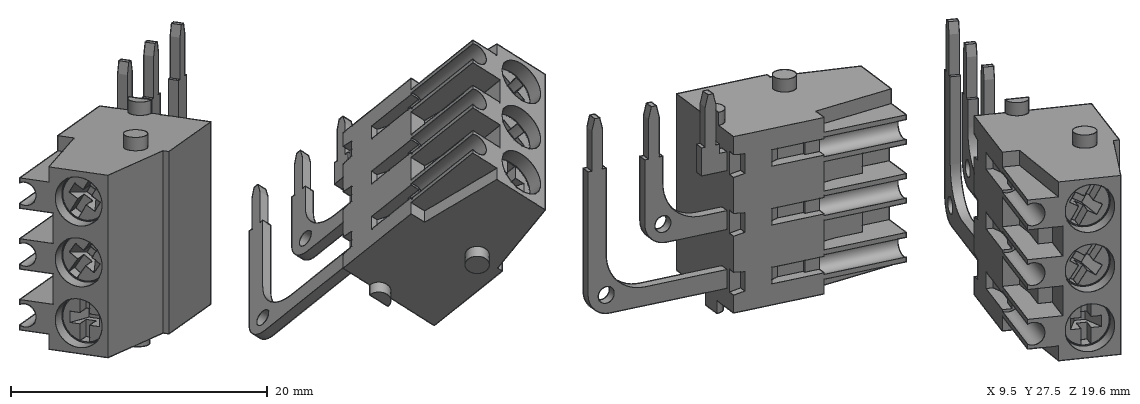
import cadquery as cq


PITCH = 5.0
POLE_HEIGHTS = [PITCH * (pole + 0.5) for pole in range(3)]
BODY_HEIGHT = 3 * PITCH
BODY_DEPTH_X = 9.5
BODY_LENGTH = 15.25
STEP_Y = 7.25
NOSE_RIGHT_AT_STEP = 9.0
NOSE_RIGHT_AT_FRONT = 7.55
NOSE_LEFT_AT_STEP = 1.4
NOSE_LEFT_AT_FRONT = 2.5
NOSE_LEFT_SLOPE = (NOSE_LEFT_AT_FRONT - NOSE_LEFT_AT_STEP) / STEP_Y

RECESS_HEIGHT = 2.5
RECESS_LEDGE_Y = 5.4
RECESS_DEEP_Y = 3.0
RECESS_DEEP_X = 2.85

GROOVE_DIAMETER = 1.9
GROOVE_CENTRE_X = 0.45
SLOT_HEIGHT = 1.4
SLOT_BACK_Y = 11.88
SLOT_RAMP_Y = 10.84
SLOT_FRONT_Y = 8.54
SLOT_BACK_X = 0.56
SLOT_FLOOR_X = 1.02
SLOT_FRONT_X = 0.8

NOTCH_DEPTH_X = 0.7
NOTCH_LENGTH = 1.0
NOTCH_BACK_HEIGHT = 1.95
NOTCH_FRONT_HEIGHT = 1.65

SCREW_X = 5.05
SCREW_HOLE_DIAMETER = 4.0
SCREW_HEAD_DIAMETER = 3.8
SCREW_SINK = 1.15
SCREW_GAP_DEPTH = 0.1
SCREW_ANGLES = [0.0, 34.0, 30.0]
DRIVE_SLOT_WIDTH = 0.83
DRIVE_SLOT_DEPTH = 1.2
DRIVE_CROSS_LENGTH = 2.54
DRIVE_CROSS_WIDTH = 0.93
DRIVE_CROSS_FLOOR = 0.88
DRIVE_CROSS_DEPTH = 1.8

PEG_DIAMETER = 1.9
PEG_FRONT_Y = 7.22
PEG_HEIGHT = 1.1
TOP_PEG_BACK_X = 3.45
TOP_PEG_FRONT_X = 6.67
BASE_PEG_BACK_X = 3.72
BASE_PEG_FRONT_X = 6.85

CONTACT_X = 1.08
CONTACT_THICKNESS = 0.85
CONTACT_WIDTH = 1.6
CONTACT_OUTER_Y = [27.5, 22.5, 17.5]
CONTACT_OUTER_RADIUS = 1.9
CONTACT_INNER_RADIUS = 3.4
CONTACT_HOLE_DIAMETER = 1.4
CONTACT_ANCHOR = 0.5
SHOULDER_Z = 14.08
PIN_TOP_Z = 18.48
PIN_WIDTH = 0.95
PIN_TIP_WIDTH = 0.45
PIN_TIP_LENGTH = 1.0


def prism_z(points, bottom, height):
    """Extrude an XY outline upward from the given height."""
    return cq.Workplane("XY").workplane(offset=bottom).polyline(points).close().extrude(height)


def prism_x(points, start, length):
    """Extrude a YZ outline along +X."""
    return cq.Workplane("YZ").workplane(offset=start).polyline(points).close().extrude(length)


def cylinder_y(diameter, x, z, start, length):
    """Cylinder along +Y."""
    base = cq.Workplane("XZ", origin=(x, start, z)).circle(diameter / 2)
    return base.extrude(-length)


def housing():
    outline = [
        (0, 0),
        (NOSE_RIGHT_AT_FRONT, 0),
        (NOSE_RIGHT_AT_STEP, STEP_Y),
        (BODY_DEPTH_X, STEP_Y),
        (BODY_DEPTH_X, BODY_LENGTH),
        (0, BODY_LENGTH),
    ]
    return prism_z(outline, 0, BODY_HEIGHT)


def end_recesses():
    outline = [(0, 0), (NOSE_LEFT_AT_FRONT, 0), (NOSE_LEFT_AT_STEP, STEP_Y), (0, STEP_Y)]
    height = RECESS_HEIGHT / 2
    lower = prism_z(outline, 0, height)
    upper = prism_z(outline, BODY_HEIGHT - height, height)
    return lower.union(upper)


def middle_recess(centre_z):
    ledge_x = NOSE_LEFT_AT_STEP + NOSE_LEFT_SLOPE * (STEP_Y - RECESS_LEDGE_Y)
    outline = [
        (0, 0),
        (RECESS_DEEP_X, 0),
        (RECESS_DEEP_X, RECESS_DEEP_Y),
        (ledge_x, RECESS_DEEP_Y),
        (ledge_x, RECESS_LEDGE_Y),
        (NOSE_LEFT_AT_STEP, STEP_Y),
        (0, STEP_Y),
    ]
    return prism_z(outline, centre_z - RECESS_HEIGHT / 2, RECESS_HEIGHT)


def wire_entry(centre_z):
    groove = cylinder_y(GROOVE_DIAMETER, GROOVE_CENTRE_X, centre_z, 0, STEP_Y)
    outline = [
        (0, STEP_Y),
        (SLOT_FRONT_X, STEP_Y),
        (SLOT_FRONT_X, SLOT_FRONT_Y),
        (SLOT_FLOOR_X, SLOT_FRONT_Y),
        (SLOT_FLOOR_X, SLOT_RAMP_Y),
        (SLOT_BACK_X, SLOT_BACK_Y),
        (0, SLOT_BACK_Y),
    ]
    slot = prism_z(outline, centre_z - SLOT_HEIGHT / 2, SLOT_HEIGHT)
    return groove.union(slot)


def contact_notch(centre_z):
    front_y = BODY_LENGTH - NOTCH_LENGTH
    outline = [
        (front_y, centre_z - NOTCH_FRONT_HEIGHT / 2),
        (BODY_LENGTH, centre_z - NOTCH_BACK_HEIGHT / 2),
        (BODY_LENGTH, centre_z + NOTCH_BACK_HEIGHT / 2),
        (front_y, centre_z + NOTCH_FRONT_HEIGHT / 2),
    ]
    return prism_x(outline, 0, NOTCH_DEPTH_X)


def screw_cut(centre_z, angle):
    """Sunk screw: hole, gap around the head, straight slot and ramped cross slot."""
    hole = cylinder_y(SCREW_HOLE_DIAMETER, SCREW_X, centre_z, 0, SCREW_SINK + SCREW_GAP_DEPTH)
    head = cylinder_y(SCREW_HEAD_DIAMETER, SCREW_X, centre_z, SCREW_SINK, SCREW_GAP_DEPTH)

    slot_y = SCREW_SINK + DRIVE_SLOT_DEPTH / 2
    slot = cq.Workplane("XY").box(DRIVE_SLOT_WIDTH, DRIVE_SLOT_DEPTH, SCREW_HEAD_DIAMETER)
    slot = slot.translate((SCREW_X, slot_y, centre_z))

    cross_bottom_y = SCREW_SINK + DRIVE_CROSS_DEPTH
    cross_outline = [
        (SCREW_X - DRIVE_CROSS_LENGTH / 2, SCREW_SINK),
        (SCREW_X + DRIVE_CROSS_LENGTH / 2, SCREW_SINK),
        (SCREW_X + DRIVE_CROSS_FLOOR / 2, cross_bottom_y),
        (SCREW_X - DRIVE_CROSS_FLOOR / 2, cross_bottom_y),
    ]
    cross = prism_z(cross_outline, centre_z - DRIVE_CROSS_WIDTH / 2, DRIVE_CROSS_WIDTH)

    rounded_slot = slot.intersect(
        cylinder_y(SCREW_HEAD_DIAMETER, SCREW_X, centre_z, SCREW_SINK, DRIVE_SLOT_DEPTH)
    )
    drive = rounded_slot.union(cross)
    drive = drive.rotate((SCREW_X, 0, centre_z), (SCREW_X, 1, centre_z), angle)
    return hole.cut(head).union(drive)


def pegs(front_x, back_x, bottom):
    """One full peg and one peg halved by the back face."""
    pair = cq.Workplane("XY").workplane(offset=bottom)
    pair = pair.pushPoints([(front_x, PEG_FRONT_Y), (back_x, BODY_LENGTH)])
    pair = pair.circle(PEG_DIAMETER / 2).extrude(PEG_HEIGHT)
    behind = prism_z(
        [
            (0, BODY_LENGTH),
            (BODY_DEPTH_X, BODY_LENGTH),
            (BODY_DEPTH_X, BODY_LENGTH + PEG_DIAMETER),
            (0, BODY_LENGTH + PEG_DIAMETER),
        ],
        bottom,
        PEG_HEIGHT,
    )
    return pair.cut(behind)


def contact(centre_z, outer_y, bent):
    """L-shaped flat contact ending in an upright pin; long ones have a rounded bend with a hole."""
    bottom = centre_z - CONTACT_WIDTH / 2
    top = centre_z + CONTACT_WIDTH / 2
    inner_y = outer_y - CONTACT_WIDTH
    pin_y = outer_y - CONTACT_WIDTH / 2
    anchor_y = BODY_LENGTH - CONTACT_ANCHOR
    outline = [
        (anchor_y, bottom),
        (outer_y, bottom),
        (outer_y, SHOULDER_Z),
        (pin_y + PIN_WIDTH / 2, SHOULDER_Z),
        (pin_y + PIN_WIDTH / 2, PIN_TOP_Z - PIN_TIP_LENGTH),
        (pin_y + PIN_TIP_WIDTH / 2, PIN_TOP_Z),
        (pin_y - PIN_TIP_WIDTH / 2, PIN_TOP_Z),
        (pin_y - PIN_WIDTH / 2, PIN_TOP_Z - PIN_TIP_LENGTH),
        (pin_y - PIN_WIDTH / 2, SHOULDER_Z),
        (inner_y, SHOULDER_Z),
        (inner_y, top),
        (anchor_y, top),
    ]
    strip = prism_x(outline, CONTACT_X, CONTACT_THICKNESS)
    if not bent:
        return strip

    mid_x = CONTACT_X + CONTACT_THICKNESS / 2
    outer_edge = cq.selectors.NearestToPointSelector((mid_x, outer_y, bottom))
    inner_edge = cq.selectors.NearestToPointSelector((mid_x, inner_y, top))
    strip = strip.edges("|X").edges(outer_edge).fillet(CONTACT_OUTER_RADIUS)
    strip = strip.edges("|X").edges(inner_edge).fillet(CONTACT_INNER_RADIUS)
    hole = cq.Workplane("YZ", origin=(CONTACT_X, inner_y, top))
    hole = hole.circle(CONTACT_HOLE_DIAMETER / 2).extrude(CONTACT_THICKNESS)
    return strip.cut(hole)


result = housing().cut(end_recesses())
for lower_z, upper_z in zip(POLE_HEIGHTS, POLE_HEIGHTS[1:]):
    result = result.cut(middle_recess((lower_z + upper_z) / 2))

for pole_z, screw_angle in zip(POLE_HEIGHTS, SCREW_ANGLES):
    result = result.cut(wire_entry(pole_z))
    result = result.cut(contact_notch(pole_z))
    result = result.cut(screw_cut(pole_z, screw_angle))

result = result.union(pegs(TOP_PEG_FRONT_X, TOP_PEG_BACK_X, BODY_HEIGHT))
result = result.union(pegs(BASE_PEG_FRONT_X, BASE_PEG_BACK_X, -PEG_HEIGHT))

for pole_z, contact_y in zip(POLE_HEIGHTS, CONTACT_OUTER_Y):
    has_bend = pole_z != POLE_HEIGHTS[-1]
    result = result.union(contact(pole_z, contact_y, has_bend))